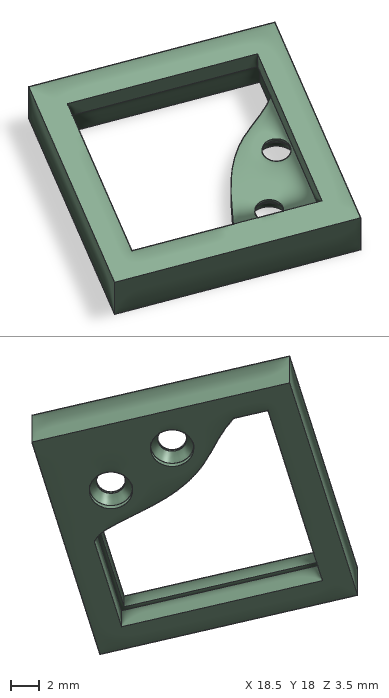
import cadquery as cq

length = 18.5
width = 18.0
height = 3.5
opening = 13.9

lip_height = 1.4
undercut = 0.25
lower_opening = opening + 2 * undercut
half_lower = lower_opening / 2

plate_thickness = 1.4

edge_start = (-4.74, half_lower)
edge_points = [(-3.35, 5.92), (-1.65, 4.03), (1.04, 2.33), (5.68, 0.9), (6.55, 0.55)]
edge_end = (half_lower, 0.0)

hole_diameter = 2.0
counterbore_diameter = 3.0
land_depth = 0.2
counterbore_depth = 0.4
hole_centers = [(0, 5.98), (5.0, 3.75)]


def square_prism(side, depth):
    return cq.Workplane("XY").rect(side, side).extrude(depth)


def make_frame():
    outer = cq.Workplane("XY").rect(length, width).extrude(height)
    lip_cut = square_prism(opening, height)
    lower_cut = square_prism(lower_opening, height - lip_height)
    return outer.cut(lip_cut).cut(lower_cut)


def make_corner_plate():
    return (
        cq.Workplane("XY")
        .moveTo(*edge_start)
        .spline(edge_points + [edge_end], includeCurrent=True)
        .lineTo(half_lower, half_lower)
        .close()
        .extrude(plate_thickness)
    )


def make_hole_cutter():
    hole_radius = hole_diameter / 2
    counterbore_radius = counterbore_diameter / 2
    land_bottom = plate_thickness - land_depth
    half_profile = [
        (0, 0),
        (counterbore_radius, 0),
        (counterbore_radius, counterbore_depth),
        (hole_radius, land_bottom),
        (hole_radius, plate_thickness),
        (0, plate_thickness),
    ]
    return cq.Workplane("XZ").polyline(half_profile).close().revolve(360, (0, 0), (0, 1))


result = make_frame().union(make_corner_plate())
for center_x, center_y in hole_centers:
    result = result.cut(make_hole_cutter().translate((center_x, center_y, 0)))